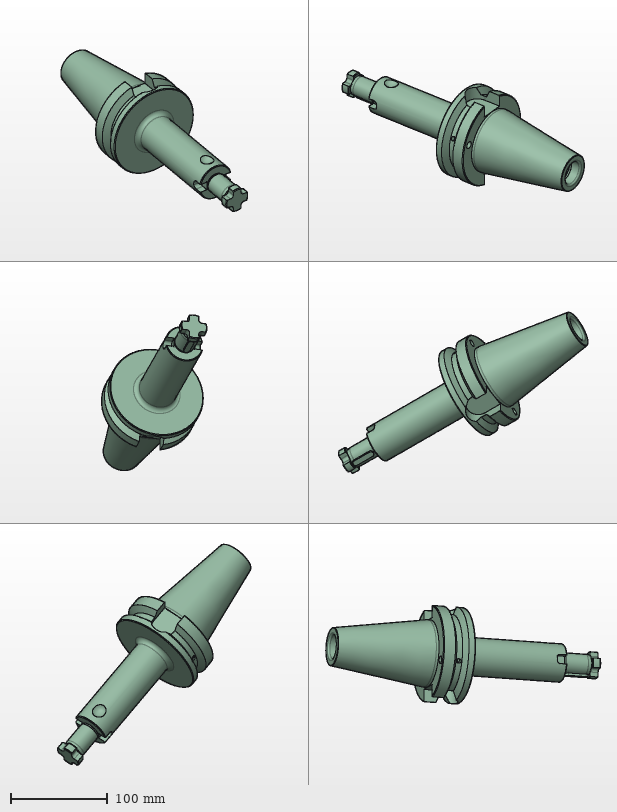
import cadquery as cq
import math

overall_length = 288.8
taper_length = 102.0
flange_start = 104.8
flange_end = 139.8
shank_end = 250.0
pilot_end = 279.8

taper_small_radius = 20.0
taper_large_radius = 35.0
flange_radius = 50.0
shank_radius = 20.0
shank_fillet = 5.0
pilot_radius = 11.0
edge_chamfer = 1.0
taper_end_chamfer = 0.5

groove_center = 125.0
groove_floor_width = 6.4
groove_floor_radius = 42.2
groove_flank_angle = 28

relief_width = 1.7
relief_radius = 10.7
lead_in_length = 3.8
lead_in_drop = 0.43

drive_slot_width = 25.7
drive_slot_end = 136.5
drive_slot_floor = 35.2

driver_slot_width = 9.8
driver_slot_start = 239.0
driver_slot_floor = pilot_radius
driver_slot_corner = 3.5

dimple_x = 234.8
dimple_sphere_radius = 8.7
dimple_sphere_height = 24.3

bore_radius = 12.5
mouth_rounding = 2.0
bore_depth = 11.5
thread_radius = 11.0
thread_depth = 52.0
bolt_radius = 4.3
drill_point_angle = 59

coolant_angle = 20
coolant_radius = 42.0
coolant_hole_radius = 3.8
coolant_tilt = 14
coolant_cross_radius = 2.3

head_radius = 14.0
bolt_length = 46.2
lug_half_width = 5.0
notch_corner = 3.5

key_start = 254.0
key_end = 279.3
key_width = 6.0
key_height = 6.0
key_bottom = 13.0


def make_outer_body():
    """Taper, grooved flange, shank and pilot, all turned about the X axis."""
    c = edge_chamfer
    floor_half = groove_floor_width / 2
    flank = (flange_radius - groove_floor_radius) * math.tan(math.radians(groove_flank_angle))
    lip_half = floor_half + flank
    fillet_mid = shank_fillet * (1 - math.sqrt(0.5))
    profile = (
        cq.Workplane("XY")
        .moveTo(0, 0)
        .lineTo(0, taper_small_radius - taper_end_chamfer)
        .lineTo(taper_end_chamfer, taper_small_radius)
        .lineTo(taper_length, taper_large_radius)
        .lineTo(flange_start, taper_large_radius)
        .lineTo(flange_start, flange_radius - c)
        .lineTo(flange_start + c, flange_radius)
        .lineTo(groove_center - lip_half, flange_radius)
        .lineTo(groove_center - floor_half, groove_floor_radius)
        .lineTo(groove_center + floor_half, groove_floor_radius)
        .lineTo(groove_center + lip_half, flange_radius)
        .lineTo(flange_end - c, flange_radius)
        .lineTo(flange_end, flange_radius - c)
        .lineTo(flange_end, shank_radius + shank_fillet)
        .threePointArc(
            (flange_end + fillet_mid, shank_radius + fillet_mid),
            (flange_end + shank_fillet, shank_radius),
        )
        .lineTo(shank_end - c, shank_radius)
        .lineTo(shank_end, shank_radius - c)
        .lineTo(shank_end, relief_radius)
        .lineTo(shank_end + relief_width, relief_radius)
        .lineTo(shank_end + relief_width, pilot_radius)
        .lineTo(pilot_end - lead_in_length, pilot_radius)
        .lineTo(pilot_end, pilot_radius - lead_in_drop)
        .lineTo(pilot_end, 0)
        .close()
    )
    return profile.revolve(360, (0, 0, 0), (1, 0, 0))


def make_bore():
    """Rounded mouth, plain bore, thread core and drill point, then the clearance for the screw."""
    thread_end = bore_depth + thread_depth
    step_chamfer = bore_radius - thread_radius
    point_length = (thread_radius - bolt_radius) / math.tan(math.radians(drill_point_angle))
    mouth_mid = mouth_rounding * (1 - math.sqrt(0.5))
    profile = (
        cq.Workplane("XY")
        .moveTo(0, 0)
        .lineTo(0, bore_radius + mouth_rounding)
        .threePointArc((mouth_mid, bore_radius + mouth_mid), (mouth_rounding, bore_radius))
        .lineTo(bore_depth, bore_radius)
        .lineTo(bore_depth + step_chamfer, thread_radius)
        .lineTo(thread_end, thread_radius)
        .lineTo(thread_end + point_length, bolt_radius)
        .lineTo(pilot_end, bolt_radius)
        .lineTo(pilot_end, 0)
        .close()
    )
    return profile.revolve(360, (0, 0, 0), (1, 0, 0))


def make_drive_slot():
    """Round-ended slot that enters the +Z side of the flange from the taper side."""
    half = drive_slot_width / 2
    center = drive_slot_end - half
    return (
        cq.Workplane("XY", origin=(0, 0, drive_slot_floor))
        .moveTo(taper_length, -half)
        .lineTo(center, -half)
        .threePointArc((drive_slot_end, 0), (center, half))
        .lineTo(taper_length, half)
        .close()
        .extrude(flange_radius)
    )


def make_driver_slot():
    """Slot across the -Y side of the shank, open at the shank end face."""
    length = shank_end - driver_slot_start
    depth = shank_radius - driver_slot_floor
    return (
        cq.Workplane("XY")
        .box(length, depth, driver_slot_width, centered=(False, False, True))
        .edges("|Y and <X")
        .fillet(driver_slot_corner)
        .translate((driver_slot_start, -shank_radius, 0))
    )


def make_coolant_hole():
    """Tilted hole from the flange face, met by a radial hole from the groove floor, on the +Y side."""
    slope = math.tan(math.radians(coolant_tilt))
    mouth = cq.Vector(flange_start, coolant_radius, 0)
    meeting_radius = coolant_radius - (groove_center - flange_start) * slope
    run = (groove_center - flange_start) / math.cos(math.radians(coolant_tilt))
    overshoot = 3.0
    direction = cq.Vector(1, -slope, 0).normalized()
    tilted = cq.Solid.makeCylinder(
        coolant_hole_radius, run + overshoot, mouth - direction * overshoot, direction
    )
    radial = cq.Solid.makeCylinder(
        coolant_cross_radius,
        flange_radius - meeting_radius,
        cq.Vector(groove_center, meeting_radius, 0),
        cq.Vector(0, 1, 0),
    )
    hole = cq.Workplane(tilted).union(cq.Workplane(radial))
    return hole.rotate((0, 0, 0), (1, 0, 0), coolant_angle)


def make_key():
    """Round-ended key let into the -Z side of the pilot."""
    length = key_end - key_start
    return (
        cq.Workplane("XY", origin=((key_start + key_end) / 2, 0, -key_bottom))
        .slot2D(length, key_width)
        .extrude(key_height)
    )


def make_screw():
    """Retaining screw whose head has four lugs separated by rounded notches."""
    c = edge_chamfer
    bolt_start = pilot_end - bolt_length
    profile = (
        cq.Workplane("XY")
        .moveTo(bolt_start, 0)
        .lineTo(bolt_start, bolt_radius)
        .lineTo(pilot_end, bolt_radius)
        .lineTo(pilot_end, head_radius - c)
        .lineTo(pilot_end + c, head_radius)
        .lineTo(overall_length - c, head_radius)
        .lineTo(overall_length, head_radius - c)
        .lineTo(overall_length, 0)
        .close()
    )
    screw = profile.revolve(360, (0, 0, 0), (1, 0, 0))
    notch = (
        cq.Workplane("YZ", origin=(pilot_end, 0, 0))
        .rect(head_radius, head_radius, centered=False)
        .extrude(overall_length - pilot_end)
        .translate((0, lug_half_width, lug_half_width))
        .edges("|X and <Y and <Z")
        .fillet(notch_corner)
    )
    for quarter in range(4):
        screw = screw.cut(notch.rotate((0, 0, 0), (1, 0, 0), 90 * quarter))
    return screw


def make_holder():
    holder = make_outer_body().cut(make_bore())
    for opening in (make_drive_slot(), make_driver_slot(), make_coolant_hole()):
        for turn in (0, 180):
            holder = holder.cut(opening.rotate((0, 0, 0), (1, 0, 0), turn))
    dimple = cq.Workplane("XY").sphere(dimple_sphere_radius)
    holder = holder.cut(dimple.translate((dimple_x, 0, dimple_sphere_height)))
    return holder.cut(make_key())


holder = make_holder()
screw = make_screw()
key = make_key()

result = cq.Compound.makeCompound([holder.val(), screw.val(), key.val()])